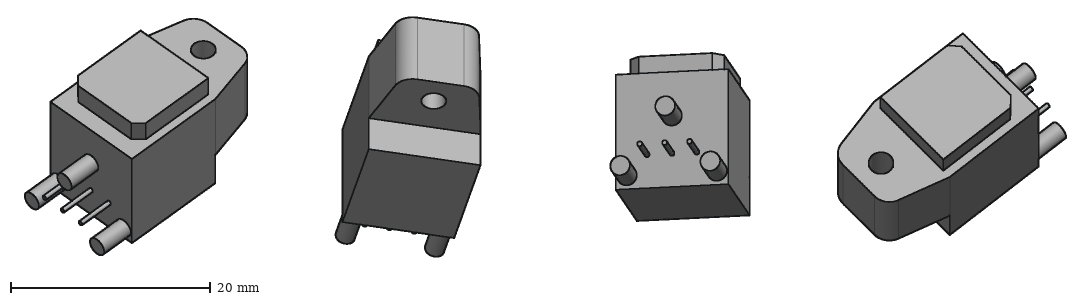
import cadquery as cq

block_width = 11.5
block_length = 11.9
block_height = 12.0

pad_width = 9.56
pad_length = 9.95
pad_height = 2.3
pad_corner_x = 1.05
pad_corner_y = 1.0

tab_length = 7.11
tab_end_width = 7.9
tab_thickness = 8.0
tab_corner_radius = 1.99
hole_diameter = 2.5
hole_to_tab_end = 3.0

peg_diameter = 2.0
peg_length = 3.8
lower_peg_offset = 4.6
lower_peg_z = 1.4
upper_peg_z = 7.4
peg_centres = [(0, upper_peg_z), (-lower_peg_offset, lower_peg_z), (lower_peg_offset, lower_peg_z)]

pin_diameter = 0.5
pin_length = 4.1
pin_pitch = 2.55
pin_count = 3
pin_z = 3.49


def front_rod(x, z, diameter, length):
    """Round rod reaching forward from the front face."""
    return cq.Workplane("XZ").center(x, z).circle(diameter / 2).extrude(length)


def make_block():
    return cq.Workplane("XY").box(block_width, block_length, block_height, centered=(True, False, False))


def make_pad():
    half_width = pad_width / 2
    back = block_length
    front = back - pad_length
    outline = [
        (-half_width, back),
        (-half_width, front + pad_corner_y),
        (-half_width + pad_corner_x, front),
        (half_width - pad_corner_x, front),
        (half_width, front + pad_corner_y),
        (half_width, back),
    ]
    return cq.Workplane("XY", origin=(0, 0, block_height)).polyline(outline).close().extrude(pad_height)


def make_tab():
    tab_end = block_length + tab_length
    outline = [
        (-block_width / 2, block_length),
        (block_width / 2, block_length),
        (tab_end_width / 2, tab_end),
        (-tab_end_width / 2, tab_end),
    ]
    tab = (
        cq.Workplane("XY", origin=(0, 0, block_height - tab_thickness))
        .polyline(outline)
        .close()
        .extrude(tab_thickness)
    )
    tab = tab.faces(">Y").edges("|Z").fillet(tab_corner_radius)
    hole = (
        cq.Workplane("XY")
        .center(0, tab_end - hole_to_tab_end)
        .circle(hole_diameter / 2)
        .extrude(block_height)
    )
    return tab.cut(hole)


def make_housing():
    housing = make_block().union(make_pad()).union(make_tab())
    for x, z in peg_centres:
        housing = housing.union(front_rod(x, z, peg_diameter, peg_length))
    return housing


def make_pin(x):
    return front_rod(x, pin_z, pin_diameter, pin_length)


housing = make_housing()

pins = []
for index in range(pin_count):
    pin_x = (index - (pin_count - 1) / 2) * pin_pitch
    pins.append(make_pin(pin_x).val())

result = cq.Compound.makeCompound([housing.val(), *pins])